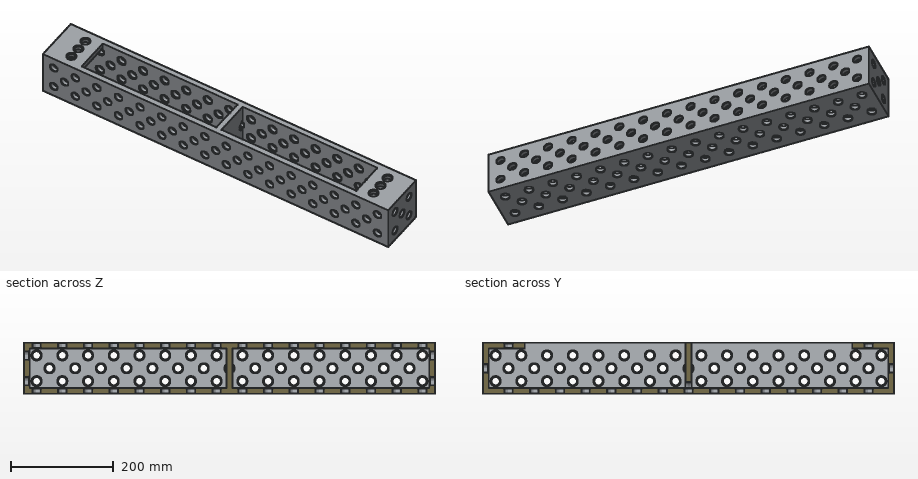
import cadquery as cq

length = 800.0
side = 100.0
wall = 12.0
half_length = length / 2
half_side = side / 2
cavity_width = side - 2 * wall

rib = wall
window_length = 312.0

hole_radius = 8.0
large_chamfer = 2.1
small_chamfer = large_chamfer / 2

notch_radius = 11.0

pitch = length / 16
row_offset = pitch / 2
outer_rows = (-row_offset, row_offset)
pitch_count = round(length / pitch)
outer_row_x = [(i + 0.5) * pitch - half_length for i in range(pitch_count)]
middle_row_x = [i * pitch - half_length for i in range(1, pitch_count)]

long_wall_points = [(x, v) for x in outer_row_x for v in outer_rows]
long_wall_points += [(x, 0) for x in middle_row_x]
end_wall_points = [(u, v) for u in outer_rows for v in outer_rows]
end_wall_points += [(0, 0)]
top_wall_x = (middle_row_x[0], middle_row_x[-1])
top_wall_points = [(x, y) for x in top_wall_x for y in (-row_offset, 0, row_offset)]


def make_box_beam():
    """Closed box with two cavities split by the rib, opened by the top windows."""
    cavity_length = half_length - rib / 2 - wall
    cavity_offset = (rib + cavity_length) / 2
    window_offset = (rib + window_length) / 2
    cavity = cq.Workplane("XY").box(cavity_length, cavity_width, cavity_width)
    window = cq.Workplane("XY").box(
        window_length, cavity_width, half_side, centered=(True, True, False)
    )
    body = cq.Workplane("XY").box(length, side, side)
    for sign in (-1, 1):
        body = body.cut(cavity.translate((sign * cavity_offset, 0, 0)))
        body = body.cut(window.translate((sign * window_offset, 0, 0)))
    return body


def make_rib_notches():
    """Round notches in the front, back and bottom edges of the rib."""
    edge = cavity_width / 2
    rib_plate = cq.Workplane("XY").box(rib, cavity_width, cavity_width)
    return (
        cq.Workplane("YZ")
        .pushPoints([(-edge, 0), (edge, 0), (0, -edge)])
        .circle(notch_radius)
        .extrude(rib / 2, both=True)
        .intersect(rib_plate)
    )


def make_hole(outer_chamfer):
    """Solid shape of one hole, from the outer mouth at z = 0 to the inner mouth at z = wall."""
    half_profile = [
        (0, 0),
        (hole_radius + outer_chamfer, 0),
        (hole_radius, outer_chamfer),
        (hole_radius, wall - large_chamfer),
        (hole_radius + large_chamfer, wall),
        (0, wall),
    ]
    return (
        cq.Workplane("XZ")
        .polyline(half_profile)
        .close()
        .revolve(360, (0, 0, 0), (0, 1, 0))
        .val()
    )


def drill_wall(body, centre, x_direction, inward, points, outer_chamfer):
    """Cut holes through one wall, at points measured from the centre of its outer face."""
    face = cq.Plane(origin=centre, xDir=x_direction, normal=inward)
    hole = make_hole(outer_chamfer)
    holes = []
    for u, v in points:
        hole_plane = cq.Plane(face.toWorldCoords((u, v, 0)), x_direction, inward)
        holes.append(hole.located(cq.Location(hole_plane)))
    return body.cut(cq.Workplane(obj=cq.Compound.makeCompound(holes)))


beam = make_box_beam().cut(make_rib_notches())

for sign in (-1, 1):
    beam = drill_wall(
        beam, (0, sign * half_side, 0), (1, 0, 0), (0, -sign, 0), long_wall_points, small_chamfer
    )
    beam = drill_wall(
        beam, (sign * half_length, 0, 0), (0, 1, 0), (-sign, 0, 0), end_wall_points, small_chamfer
    )

beam = drill_wall(beam, (0, 0, -half_side), (1, 0, 0), (0, 0, 1), long_wall_points, small_chamfer)
beam = drill_wall(beam, (0, 0, half_side), (1, 0, 0), (0, 0, -1), top_wall_points, large_chamfer)

result = cq.Workplane(obj=beam.solids().val())